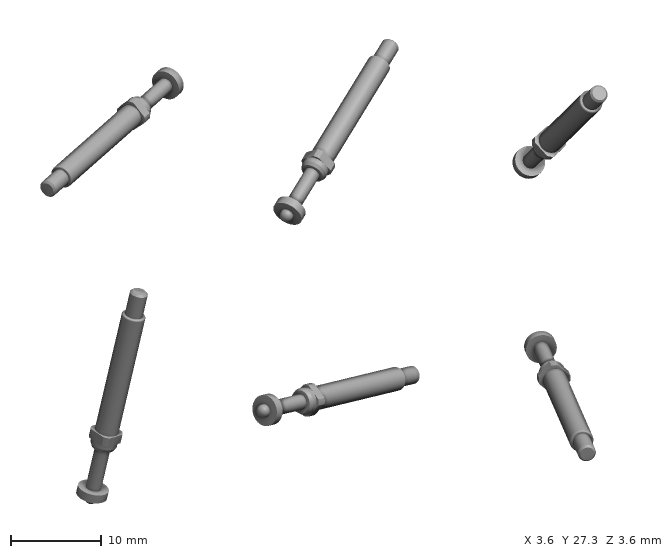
import cadquery as cq

total_length = 27.3
tail_end = 2.98
body_end = 17.9
flange_end = 19.0
collar_end = 20.0
disc_start = 25.28
disc_end = 26.3

tail_radius = 1.0
body_radius = 1.35
collar_radius = 1.5
flange_radius = 1.8
disc_radius = 1.75
stem_radius = 0.87
tip_radius = 0.75

tail_chamfer = 0.22
body_fillet = 0.2
collar_bevel_length = 0.4
collar_bevel_depth = 0.2

square_across_flats = 2 * collar_radius
square_turn = 45.0

rear_y = -total_length / 2


def cylinder(radius, start, end):
    """Solid cylinder along +Y between two stations."""
    length = end - start
    base = cq.Workplane("XZ", origin=(0, rear_y + start, 0)).circle(radius)
    return base.extrude(-length)


def make_tail():
    """Rear pin with a chamfered end."""
    return cylinder(tail_radius, 0, tail_end).faces("<Y").chamfer(tail_chamfer)


def make_body():
    """Barrel with its rear rim rounded over."""
    return cylinder(body_radius, tail_end, body_end).faces("<Y").fillet(body_fillet)


def make_square_flange():
    """Square drive flange, turned onto its corner."""
    length = flange_end - body_end
    square = (
        cq.Workplane("XZ", origin=(0, rear_y + body_end, 0))
        .transformed(rotate=(0, 0, square_turn))
        .rect(square_across_flats, square_across_flats)
        .extrude(-length)
    )
    return square.intersect(cylinder(flange_radius, body_end, flange_end))


def make_collar():
    """Collar with a long, shallow bevel around its front rim."""
    bevel_start = rear_y + collar_end - collar_bevel_length
    profile = (
        cq.Workplane("XY")
        .moveTo(0, rear_y + flange_end)
        .lineTo(collar_radius, rear_y + flange_end)
        .lineTo(collar_radius, bevel_start)
        .lineTo(collar_radius - collar_bevel_depth, rear_y + collar_end)
        .lineTo(0, rear_y + collar_end)
        .close()
    )
    return profile.revolve(360, (0, 0, 0), (0, 1, 0))


def make_tip():
    """Short cylinder closed by a hemisphere."""
    dome_start = total_length - tip_radius
    dome = cq.Workplane("XY", origin=(0, rear_y + dome_start, 0)).sphere(tip_radius)
    return cylinder(tip_radius, disc_end, dome_start).union(dome)


result = (
    make_tail()
    .union(make_body())
    .union(make_square_flange())
    .union(make_collar())
    .union(cylinder(stem_radius, collar_end, disc_start))
    .union(cylinder(disc_radius, disc_start, disc_end))
    .union(make_tip())
)